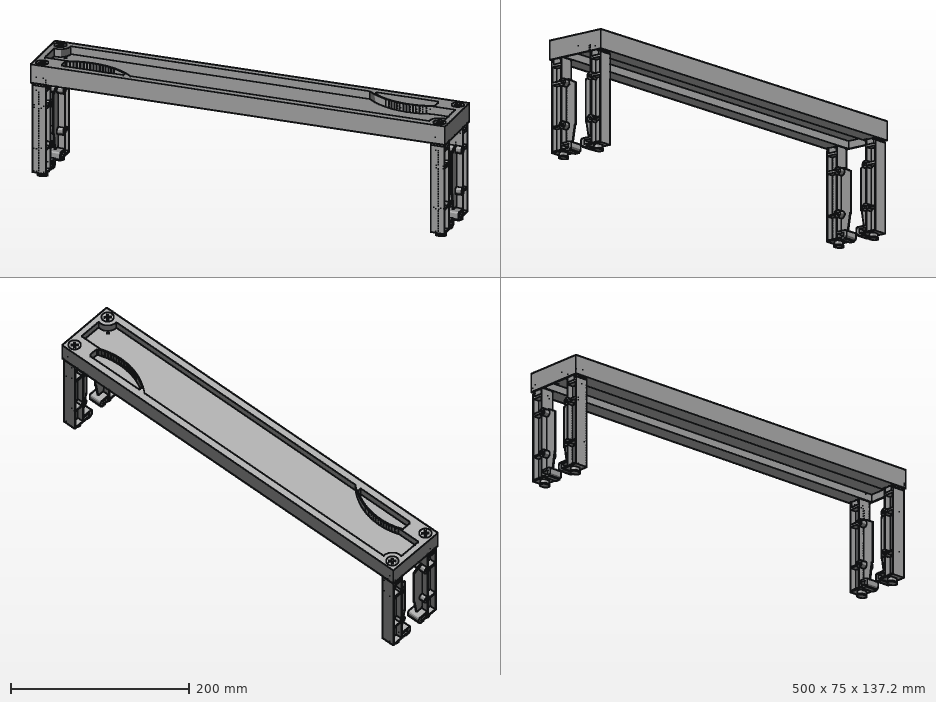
import cadquery as cq
import math


tray_length = 500.0
tray_width = 75.0
tray_height = 22.5
overall_height = 137.23
wall = 1.5

recess_depth = 9.5
recess_end_margin = 7.5
recess_side_margin = 9.0
recess_step_y = 24.5
corner_relief_radius = 12.5
drain_hole_diameter = 2.5
drain_hole_inset = 21.0
pocket_depth = 10.0
pocket_start_x = 33.0
pocket_end_x = 108.5
pocket_corner_radius = 3.0
pocket_arc_center = (63.0, -51.4)
pocket_arc_radius = 79.2
pocket_rim = 1.5
grip_groove_count = 16
grip_groove_pitch_angle = 2.8
grip_groove_radius = 0.45

cavity_height = 9.0
socket_height = 7.5
socket_size = 16.5
socket_end = wall + socket_size
cavity_width = tray_width - 2 * (socket_end + wall)

screw_position = (10.25, 9.75)
screw_head_diameter = 14.0
screw_head_height = 4.0
screw_shank_diameter = 5.0
screw_tip_z = 1.5
cross_length = 8.0
cross_width = 1.8
cross_depth = 2.0
cross_angles = (45, 135)

foot_height = 6.0
leg_bottom = -(overall_height - tray_height - foot_height)
leg_x0 = wall
leg_depth = 16.5
leg_y0 = wall
leg_width = 15.0
leg_y1 = leg_y0 + leg_width
shoulder_top = -1.5
shoulder_size = 1.5
web_thickness = wall
side_recess_depth = (leg_depth - web_thickness) / 2
rib_thickness = 3.0
thin_rib_thickness = 1.5
thin_rib_z = -79.2
window_bottom = -6.0
boss_diameter = 8.6
boss_y = 17.0
boss_hole_diameter = 3.2
upper_boss_z = -28.5
lower_boss_z = -78.5

wing_shoulder_y = 20.0
wing_tip_y = 30.0
wing_root_top = -24.0
wing_tip_top = -29.5
wing_step = 1.0
wing_bottom_y = 25.6
wing_bottom = -98.2

hook_tip_y = 30.5
hook_top = -99.7
hook_arm_bottom = -102.3
hook_floor = -107.0
hook_opening_y = 26.0
hook_corner_radius = 2.5
lip_start_y = 22.0
lip_end_y = 28.0
lip_bottom = -110.0

foot_length = 12.0
foot_width = 9.0
foot_neck_inset = 0.5
foot_flange_height = 1.5


def corner_box(x0, x1, y0, y1, z0, z1):
    """Box given by its limits."""
    return cq.Workplane("XY").box(x1 - x0, y1 - y0, z1 - z0, centered=False).translate((x0, y0, z0))


def at_corner(shape):
    """Move a shape from corner coordinates to the -X, -Y corner of the tray."""
    return shape.translate((-tray_length / 2, -tray_width / 2, 0))


def at_four_corners(shape):
    """Four copies of a corner shape, mirrored to every corner of the tray."""
    first = at_corner(shape)
    pair = [first, first.mirror("YZ")]
    return pair + [copy.mirror("XZ") for copy in pair]


def turned(shape):
    """Copy of a shape turned half a revolution about Z."""
    return shape.rotate((0, 0, 0), (0, 0, 1), 180)


def arc_half_chord(radius, y):
    """Half the width at height Y of the finger pocket arc circle of the given radius."""
    return math.sqrt(radius**2 - (y - pocket_arc_center[1]) ** 2)


def pocket_area(radius, x0, x1, depth):
    """Solid between the recess side line and the finger pocket arc, in corner coordinates."""
    floor_z = tray_height - depth
    disc = cq.Workplane("XY", origin=(*pocket_arc_center, floor_z)).circle(radius).extrude(depth)
    return disc.intersect(corner_box(x0, x1, recess_side_margin, tray_width, floor_z, tray_height))


def make_recess():
    """Main recess, leaving a step and a pocket rim at two opposite corners and a relief at the others."""
    floor_z = tray_height - recess_depth
    recess = cq.Workplane("XY", origin=(0, 0, floor_z)).rect(
        tray_length - 2 * recess_end_margin, tray_width - 2 * recess_side_margin
    ).extrude(recess_depth)

    rim_radius = pocket_arc_radius + pocket_rim
    rim_end_x = pocket_arc_center[0] + arc_half_chord(rim_radius, recess_side_margin)
    step_end_x = pocket_arc_center[0] - arc_half_chord(rim_radius, recess_step_y)
    step = corner_box(0, step_end_x, 0, recess_step_y, floor_z, tray_height)
    rim = pocket_area(rim_radius, pocket_start_x, rim_end_x, recess_depth)
    pocket_corner = at_corner(step.union(rim))

    screw_land = (
        cq.Workplane("XY", origin=(0, 0, floor_z))
        .center(*screw_position)
        .circle(corner_relief_radius)
        .extrude(recess_depth)
    )
    relief_corner = at_corner(screw_land).mirror("XZ")

    for kept in (pocket_corner, relief_corner):
        recess = recess.cut(kept).cut(turned(kept))
    return recess


def make_pocket():
    """Finger pocket with a row of upright grip grooves in its curved wall."""
    pocket = pocket_area(pocket_arc_radius, pocket_start_x, pocket_end_x, pocket_depth)
    pocket = pocket.edges("|Z and <X and <Y").fillet(pocket_corner_radius)
    groove_span = grip_groove_pitch_angle * (grip_groove_count - 1)
    grooves = (
        cq.Workplane("XY", origin=(*pocket_arc_center, tray_height - pocket_depth))
        .polarArray(
            pocket_arc_radius, 90 - groove_span / 2, groove_span, grip_groove_count, rotate=False
        )
        .circle(grip_groove_radius)
        .extrude(pocket_depth)
    )
    return at_corner(pocket.union(grooves))


def make_tray():
    tray = cq.Workplane("XY").box(tray_length, tray_width, tray_height, centered=(True, True, False))
    tray = tray.cut(make_recess())

    drain = cq.Workplane("XY").center(drain_hole_inset, drain_hole_inset)
    drain = at_corner(drain.circle(drain_hole_diameter / 2).extrude(tray_height)).mirror("XZ")
    for opening in (make_pocket(), drain):
        tray = tray.cut(opening).cut(turned(opening))

    cavity = cq.Workplane("XY").box(
        tray_length - 2 * wall, cavity_width, cavity_height, centered=(True, True, False)
    )
    tray = tray.cut(cavity)

    socket = corner_box(wall, socket_end, wall, socket_end, 0, socket_height)
    for hole in at_four_corners(socket.union(screw_blank())):
        tray = tray.cut(hole)
    return tray


def screw_blank():
    """Screw without its cross recess; also the shape of its hole."""
    head_z = tray_height - screw_head_height
    head = cq.Workplane("XY", origin=(0, 0, head_z)).center(*screw_position)
    head = head.circle(screw_head_diameter / 2).extrude(screw_head_height)
    shank = cq.Workplane("XY", origin=(0, 0, screw_tip_z)).center(*screw_position)
    return head.union(shank.circle(screw_shank_diameter / 2).extrude(head_z - screw_tip_z))


def make_screw():
    screw = screw_blank()
    slot_plane = cq.Workplane("XY", origin=(*screw_position, tray_height - cross_depth))
    for angle in cross_angles:
        slot = slot_plane.transformed(rotate=(0, 0, angle)).rect(cross_length, cross_width)
        screw = screw.cut(slot.extrude(cross_depth))
    return screw


def leg_profile(points, x0, depth):
    """Polygon of (Y, Z) points extruded along X."""
    return cq.Workplane("YZ", origin=(x0, 0, 0)).polyline(points).close().extrude(depth)


def make_column():
    """H-section column with a narrower neck that enters the socket."""
    neck_y0 = leg_y0 + shoulder_size
    column = leg_profile(
        [
            (leg_y0, leg_bottom),
            (leg_y1, leg_bottom),
            (leg_y1, socket_height),
            (neck_y0, socket_height),
            (neck_y0, shoulder_top),
            (leg_y0, shoulder_top - shoulder_size),
        ],
        leg_x0,
        leg_depth,
    )
    x1 = leg_x0 + leg_depth
    window_top = socket_height - rib_thickness
    window = corner_box(leg_x0, x1, neck_y0 + wall, leg_y1 - wall, window_bottom, window_top)
    column = column.cut(window)

    bay_limits = [
        (upper_boss_z + rib_thickness / 2, window_bottom - rib_thickness),
        (thin_rib_z + thin_rib_thickness / 2, upper_boss_z - rib_thickness / 2),
        (leg_bottom + wall, thin_rib_z - thin_rib_thickness / 2),
    ]
    for x0 in (leg_x0, leg_x0 + side_recess_depth + web_thickness):
        for z0, z1 in bay_limits:
            bay = corner_box(x0, x0 + side_recess_depth, leg_y0 + wall, leg_y1 - wall, z0, z1)
            column = column.cut(bay)
    return column


def make_wing():
    return leg_profile(
        [
            (leg_y1 - wall, wing_root_top),
            (wing_shoulder_y, wing_root_top),
            (wing_tip_y, wing_tip_top),
            (wing_tip_y, lower_boss_z),
            (wing_tip_y - wing_step, lower_boss_z),
            (wing_bottom_y, wing_bottom),
            (leg_y1 - wall, wing_bottom),
        ],
        leg_x0 + side_recess_depth,
        web_thickness,
    )


def make_hook():
    """Closed loop beside the leg bottom with a lip underneath."""
    x1 = leg_x0 + leg_depth
    loop = corner_box(leg_x0, x1, leg_y1 - wall, hook_tip_y, leg_bottom, hook_top)
    loop = loop.edges("|X and >Y").fillet(hook_corner_radius)
    lip = corner_box(leg_x0, x1, lip_start_y, lip_end_y, lip_bottom, hook_floor)
    opening = corner_box(leg_x0, x1, leg_y1, hook_opening_y, hook_floor, hook_arm_bottom)
    return loop.union(lip).cut(opening)


def make_foot():
    """Oblong foot: narrower neck above a flange."""
    center = (leg_x0 + leg_depth / 2, leg_y1 - foot_width / 2)
    flange_z = leg_bottom - foot_height

    def oblong(inset, z, height):
        plane = cq.Workplane("XY", origin=(0, 0, z)).center(*center)
        return plane.slot2D(foot_length - 2 * inset, foot_width - 2 * inset).extrude(height)

    flange = oblong(0, flange_z, foot_flange_height)
    neck = oblong(foot_neck_inset, flange_z, foot_height)
    return flange.union(neck)


def make_leg():
    leg = make_column().union(make_wing()).union(make_hook()).union(make_foot())
    boss_centers = [(boss_y, upper_boss_z), (boss_y, lower_boss_z)]
    boss_plane = cq.Workplane("YZ", origin=(leg_x0, 0, 0)).pushPoints(boss_centers)
    leg = leg.union(boss_plane.circle(boss_diameter / 2).extrude(leg_depth))
    leg = leg.cut(boss_plane.circle(boss_hole_diameter / 2).extrude(leg_depth))
    return leg.cut(screw_blank())


tray = make_tray()
legs = at_four_corners(make_leg())
screws = at_four_corners(make_screw())

result = cq.Compound.makeCompound(
    [tray.val(), *[leg.val() for leg in legs], *[screw.val() for screw in screws]]
)